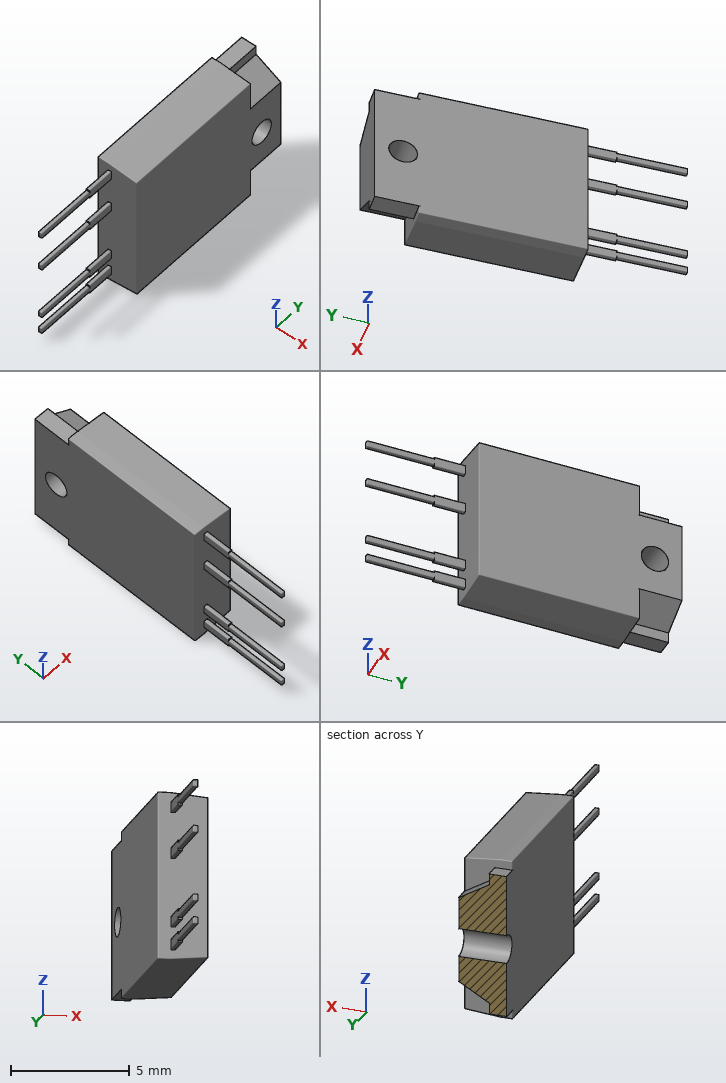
import cadquery as cq
import math

thickness = 2.17
total_length = 14.02
body_width = 7.28

body_start = 4.57
body_end = 12.06
straight_depth = 0.55
draft_angle = 5.3
body_edge_radius = 0.04

tab_width = 6.48
tab_thickness = 0.8
block_step = 0.5
block_slope_angle = 30.0
hole_diameter = 1.26
hole_from_end = 1.26
hole_height = -0.14

lead_pitch = 1.0
lead_positions = (-3, -2, 1, 3)
lead_center_x = 0.66
lead_thickness = 0.21
lead_wide_width = 0.46
lead_wide_length = 1.43
lead_narrow_width = 0.31
lead_root_depth = 0.14
lead_edge_radius = 0.04


def extrude_along_y(outline, y_start, y_end):
    """Extrude an XZ outline from y_start to y_end."""
    plane = cq.Workplane("XZ", origin=(0, y_start, 0))
    return plane.polyline(outline).close().extrude(y_start - y_end)


def mirrored_outline(upper_points):
    """Close an outline by mirroring its upper half across Z = 0."""
    lower_points = [(x, -z) for x, z in reversed(upper_points)]
    return upper_points + lower_points


def make_body():
    """Block with parallel sides at the back then drafted sides towards the front."""
    half_width = body_width / 2
    drop = (thickness - straight_depth) * math.tan(math.radians(draft_angle))
    outline = mirrored_outline([
        (0, half_width),
        (straight_depth, half_width),
        (thickness, half_width - drop),
    ])
    body = extrude_along_y(outline, body_start, body_end)
    rim_edges = body.faces("<X or >X or <Y or >Y").edges()
    return rim_edges.fillet(body_edge_radius)


def make_tab():
    """Full-width tab plate with a sloped block behind it, pierced by the mounting hole."""
    half_width = tab_width / 2
    block_half_width = half_width - block_step
    drop = (thickness - tab_thickness) * math.tan(math.radians(block_slope_angle))
    outline = mirrored_outline([
        (0, half_width),
        (tab_thickness, half_width),
        (tab_thickness, block_half_width),
        (thickness, block_half_width - drop),
    ])
    tab = extrude_along_y(outline, body_end - 2 * body_edge_radius, total_length)
    hole = (
        cq.Workplane("YZ")
        .center(total_length - hole_from_end, hole_height)
        .circle(hole_diameter / 2)
        .extrude(thickness)
    )
    return tab.cut(hole)


def make_lead(z):
    """Lead with a wide shoulder at the body and a narrow pin ending at Y = 0."""
    shoulder_end = body_start - lead_wide_length
    shoulder_length = lead_wide_length + lead_root_depth
    shoulder = (
        cq.Workplane("XY")
        .box(lead_thickness, shoulder_length, lead_wide_width)
        .edges("|Y").fillet(lead_edge_radius)
        .translate((lead_center_x, shoulder_end + shoulder_length / 2, z))
    )
    pin = (
        cq.Workplane("XY")
        .box(lead_thickness, shoulder_end, lead_narrow_width)
        .faces("<Y or <X or >X").edges("not >Y").fillet(lead_edge_radius)
        .translate((lead_center_x, shoulder_end / 2, z))
    )
    return shoulder.union(pin)


result = make_body().union(make_tab())
for position in lead_positions:
    result = result.union(make_lead(position * lead_pitch))